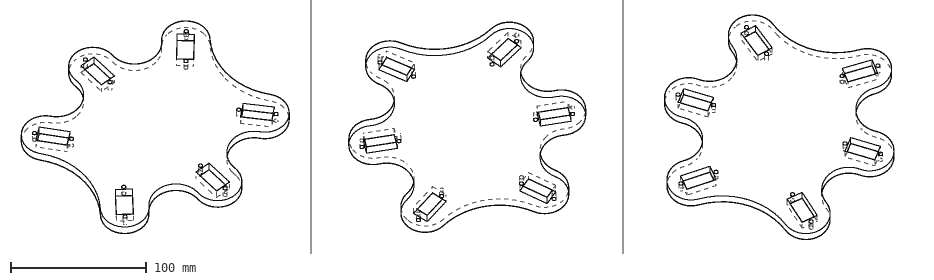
import cadquery as cq
import math

length = 177.0
width = 171.7
thickness = 8.0

pad_radius = 17.9
corner_pad_x = 44.8
corner_pad_y = width / 2 - pad_radius
side_pad_x = length / 2 - pad_radius
waist_half_width = 70.6
flank_radius = 20.0

slot_length = 23.2
slot_width = 12.5
screw_diameter = 3.0
screw_spacing = 27.8
side_mount_x = 65.1
corner_mount_x = 40.4
corner_mount_y = 64.5
rear_angle = 41.0
front_angle = 38.5
rear_left_slot_y = 63.7
rear_left_slot_angle = 42.0

pad_rise = waist_half_width - corner_pad_y
end_radius = (corner_pad_x**2 + pad_rise**2 - pad_radius**2) / (2 * (pad_radius - pad_rise))
end_center = (0, waist_half_width + end_radius)

pad_step_x = corner_pad_x - side_pad_x
pad_distance = math.hypot(pad_step_x, corner_pad_y)
flank_offset = math.sqrt((pad_radius + flank_radius) ** 2 - (pad_distance / 2) ** 2)
flank_center = (
    (side_pad_x + corner_pad_x) / 2 + flank_offset * corner_pad_y / pad_distance,
    corner_pad_y / 2 - flank_offset * pad_step_x / pad_distance,
)


def point_towards(start, target, distance):
    """Point at a distance from start on the line to target."""
    span = math.dist(start, target)
    return tuple(s + (t - s) * distance / span for s, t in zip(start, target))


def make_plate():
    side_pad = (side_pad_x, 0)
    corner_pad = (corner_pad_x, corner_pad_y)
    side_tangent = point_towards(side_pad, flank_center, pad_radius)
    corner_tangent = point_towards(corner_pad, flank_center, pad_radius)
    end_tangent = point_towards(corner_pad, end_center, pad_radius)
    flank_middle = point_towards(flank_center, (0, flank_center[1]), flank_radius)
    corner_top = (corner_pad_x, corner_pad_y + pad_radius)
    end_middle = point_towards(end_center, (0, 0), end_radius)

    quarter = (
        cq.Workplane("XY")
        .moveTo(length / 2, 0)
        .threePointArc(point_towards(side_pad, (length, side_pad_x), pad_radius), side_tangent)
        .threePointArc(flank_middle, corner_tangent)
        .threePointArc(corner_top, end_tangent)
        .radiusArc(end_middle, end_radius)
        .lineTo(0, 0)
        .close()
        .extrude(thickness)
    )
    half = quarter.union(quarter.mirror("YZ"))
    return half.union(half.mirror("XZ")).clean()


def cut_slot(body, x, y, angle):
    slot = cq.Workplane("XY").rect(slot_length, slot_width).extrude(thickness)
    return body.cut(slot.rotate((0, 0, 0), (0, 0, 1), angle).translate((x, y, 0)))


def cut_screw_holes(body, x, y, angle):
    ends = [(-screw_spacing / 2, 0), (screw_spacing / 2, 0)]
    holes = cq.Workplane("XY").pushPoints(ends).circle(screw_diameter / 2).extrude(thickness)
    return body.cut(holes.rotate((0, 0, 0), (0, 0, 1), angle).translate((x, y, 0)))


result = make_plate()

for x, y, angle in [
    (-side_mount_x, 0, 0),
    (side_mount_x, 0, 0),
    (corner_mount_x, corner_mount_y, rear_angle),
    (-corner_mount_x, -corner_mount_y, front_angle),
    (corner_mount_x, -corner_mount_y, -front_angle),
]:
    result = cut_slot(result, x, y, angle)
    result = cut_screw_holes(result, x, y, angle)

result = cut_slot(result, -corner_mount_x, rear_left_slot_y, -rear_left_slot_angle)
result = cut_screw_holes(result, -corner_mount_x, corner_mount_y, -rear_angle)